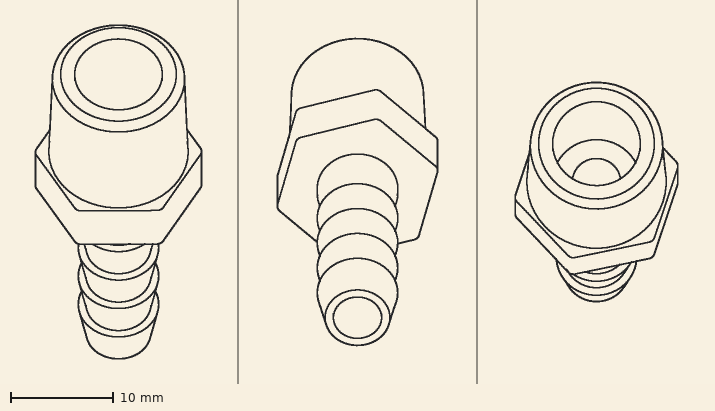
import cadquery as cq

total_height = 42.95

barb_count = 5
barb_pitch = 4.72
barb_tip_radius = 3.18
barb_ridge_radius = 3.95
barb_height = barb_count * barb_pitch

hex_bottom = 24.5
hex_height = 5.6
hex_top = hex_bottom + hex_height
hex_across_flats = 14.3
hex_corner_radius = 0.75

spigot_base_radius = 6.83
spigot_top_radius = 6.5
spigot_rim_radius = 5.65
rim_chamfer_height = 0.7

small_bore_radius = 2.35
large_bore_radius = 4.3
large_bore_depth = total_height - hex_top


def make_barbed_stem():
    """Stack of upward-flaring cones with a plain neck up to the collar."""
    outline = cq.Workplane("XZ").moveTo(0, 0)
    for barb in range(barb_count):
        bottom = barb * barb_pitch
        outline = outline.lineTo(barb_tip_radius, bottom)
        outline = outline.lineTo(barb_ridge_radius, bottom + barb_pitch)
    outline = outline.lineTo(barb_ridge_radius, hex_bottom).lineTo(0, hex_bottom)
    return outline.close().revolve(360, (0, 0, 0), (0, 1, 0))


def make_hex_collar():
    """Hexagonal prism with rounded vertical corners."""
    return (
        cq.Workplane("XY")
        .workplane(offset=hex_bottom)
        .polygon(6, hex_across_flats, circumscribed=True)
        .extrude(hex_height)
        .edges("|Z")
        .fillet(hex_corner_radius)
    )


def make_spigot():
    """Slightly tapered spigot with a chamfered top rim."""
    outline = [
        (0, hex_top),
        (spigot_base_radius, hex_top),
        (spigot_top_radius, total_height - rim_chamfer_height),
        (spigot_rim_radius, total_height),
        (0, total_height),
    ]
    return cq.Workplane("XZ").polyline(outline).close().revolve(360, (0, 0, 0), (0, 1, 0))


body = make_barbed_stem().union(make_hex_collar()).union(make_spigot())
small_bore = cq.Workplane("XY").circle(small_bore_radius).extrude(total_height)
large_bore = (
    cq.Workplane("XY")
    .workplane(offset=total_height - large_bore_depth)
    .circle(large_bore_radius)
    .extrude(large_bore_depth)
)
result = body.cut(small_bore).cut(large_bore)